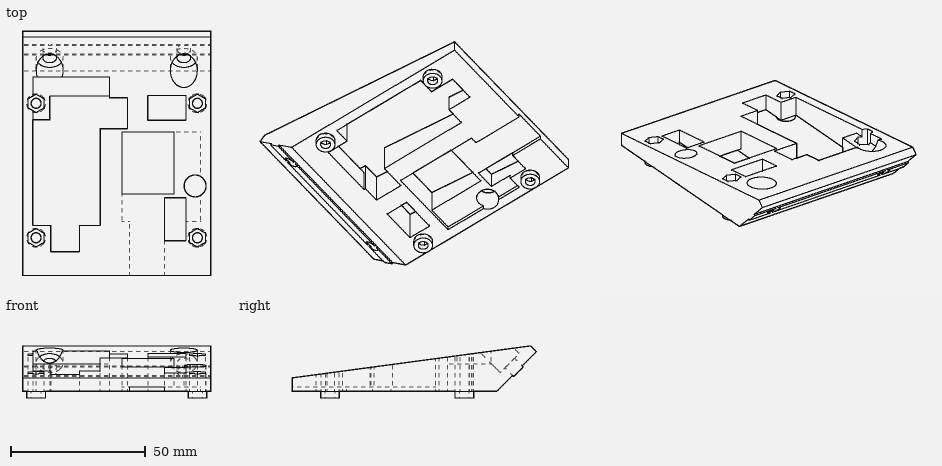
import cadquery as cq
import math

width = 70.0
length = 90.85
front_height = 5.1
rear_height = 17.0
rear_chamfer = 2.2
rear_tip_height = rear_height - rear_chamfer
base_length = length - rear_tip_height
center_x = width / 2

rib_width = 5.0
rib_height = 0.5

window_left = 3.8
window_right = 28.8
window_front = 18.7
ear_right = 39.0
ear_front = 54.7
ear_back = 66.05
tab_left = 10.5
tab_right = 21.2
tab_front = 8.9

ledge_height = 10.2
ledge_right = 32.25
ledge_back = 73.9
ledge_inner_front = 66.7
ledge_side_right = 10.2
ledge_side_front = 57.9

center_left = 37.0
center_right = 56.2
center_front = 30.4
center_back = 53.3
side_right = 60.7
rear_left = 46.6
rear_front = 57.8
rear_back = 66.9
slot_left = 52.8
slot_front = 13.0
slot_back = 28.9
round_hole_x = 64.1
round_hole_y = 33.3
round_hole_diameter = 8.1

recess_depth = 1.6
recess_front = 20.2
recess_right = width - window_left
channel_left = 39.7

foot_spacing_x = 60.0
foot_spacing_y = 50.0
foot_center_y = 39.1
foot_diameter = 7.0
foot_height = 2.45
bolt_diameter = 3.6
nut_across_flats = 5.9
foot_points = [
    (center_x + side * foot_spacing_x / 2, foot_center_y + end * foot_spacing_y / 2)
    for side in (-1, 1)
    for end in (-1, 1)
]

screw_spacing = 49.9
screw_exit_height = 7.7
screw_diameter = 5.1
screw_head_diameter = 10.0
screw_seat_distance = 4.0

cut_height = 2 * rear_height
cut_margin = 0.9


def block(left, right, front, back, bottom, top):
    """Box given by its limits along X, Y and Z."""
    size = (right - left, back - front, top - bottom)
    return cq.Workplane("XY").box(*size, centered=False).translate((left, front, bottom))


def opening(left, right, front, back):
    """Rectangular cutter through the full height of the body."""
    return block(left, right, front, back, -cut_margin, cut_height)


def foot_cylinder(diameter, height):
    """One cylinder per foot, standing on the level of the foot soles."""
    soles = cq.Workplane("XY").workplane(offset=-foot_height).pushPoints(foot_points)
    return soles.circle(diameter / 2).extrude(height)


def rear_face_plane(x):
    """Plane on the rear face at screw height, its normal pointing into the body."""
    origin = (x, base_length + screw_exit_height, screw_exit_height)
    return cq.Plane(origin=origin, xDir=(1, 0, 0), normal=(0, -1, 1))


result = (
    cq.Workplane("YZ")
    .polyline([
        (0, 0),
        (base_length, 0),
        (length, rear_tip_height),
        (length - rear_chamfer, rear_height),
        (0, front_height),
    ])
    .close()
    .extrude(width)
)
rib = cq.Workplane(rear_face_plane(center_x)).rect(width, rib_width).extrude(-rib_height)
result = result.union(rib)

result = result.union(foot_cylinder(foot_diameter, foot_height))

result = result.cut(opening(window_left, window_right, window_front, ledge_side_front))
result = result.cut(opening(ledge_side_right, ledge_right, ear_front, ledge_inner_front))
result = result.cut(opening(window_right, ear_right, ear_front, ear_back))
result = result.cut(opening(tab_left, tab_right, tab_front, window_front))
result = result.cut(
    block(window_left, ledge_right, ledge_side_front, ledge_back, ledge_height, cut_height)
)

result = result.cut(opening(center_left, center_right, center_front, center_back))
result = result.cut(opening(rear_left, side_right, rear_front, rear_back))
result = result.cut(opening(slot_left, side_right, slot_front, slot_back))
round_hole = cq.Workplane("XY").center(round_hole_x, round_hole_y).circle(round_hole_diameter / 2)
result = result.cut(round_hole.extrude(cut_height))

result = result.cut(block(center_left, recess_right, recess_front, center_back, 0, recess_depth))
result = result.cut(block(channel_left, slot_left, 0, recess_front, 0, recess_depth))

nut_across_corners = nut_across_flats / math.cos(math.radians(30))
for x, y in foot_points:
    nut = cq.Workplane("XY").polygon(6, nut_across_corners).extrude(cut_height)
    result = result.cut(nut.rotate((0, 0, 0), (0, 0, 1), 30).translate((x, y, 0)))
result = result.cut(foot_cylinder(bolt_diameter, cut_height))

for side in (-1, 1):
    plane = rear_face_plane(center_x + side * screw_spacing / 2)
    shank = cq.Workplane(plane).workplane(offset=-2 * rib_height).circle(screw_diameter / 2)
    head = cq.Workplane(plane).workplane(offset=screw_seat_distance).circle(screw_head_diameter / 2)
    result = result.cut(shank.extrude(cut_height))
    result = result.cut(head.extrude(cut_height))